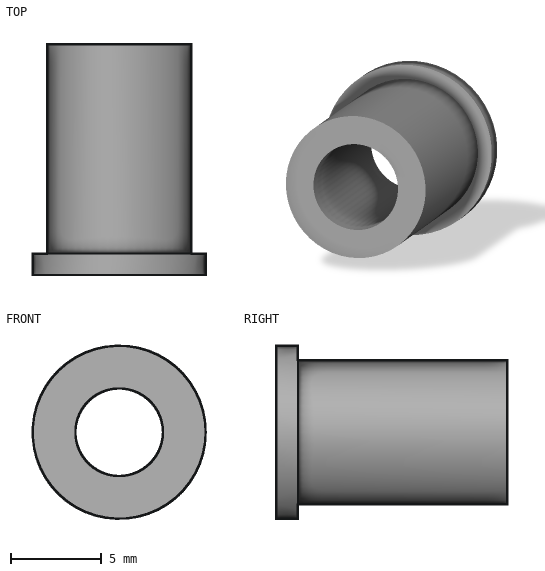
import cadquery as cq

total_length = 12.7
flange_diameter = 9.52
flange_thickness = 1.2
sleeve_diameter = 7.94
bore_diameter = 4.8


def cylinder_along_y(diameter, length):
    """Solid cylinder from the flange face (Y = 0) toward +Y."""
    return cq.Workplane("XZ").circle(diameter / 2).extrude(-length)


sleeve = cylinder_along_y(sleeve_diameter, total_length)
flange = cylinder_along_y(flange_diameter, flange_thickness)
bore = cylinder_along_y(bore_diameter, total_length)

result = sleeve.union(flange).cut(bore)